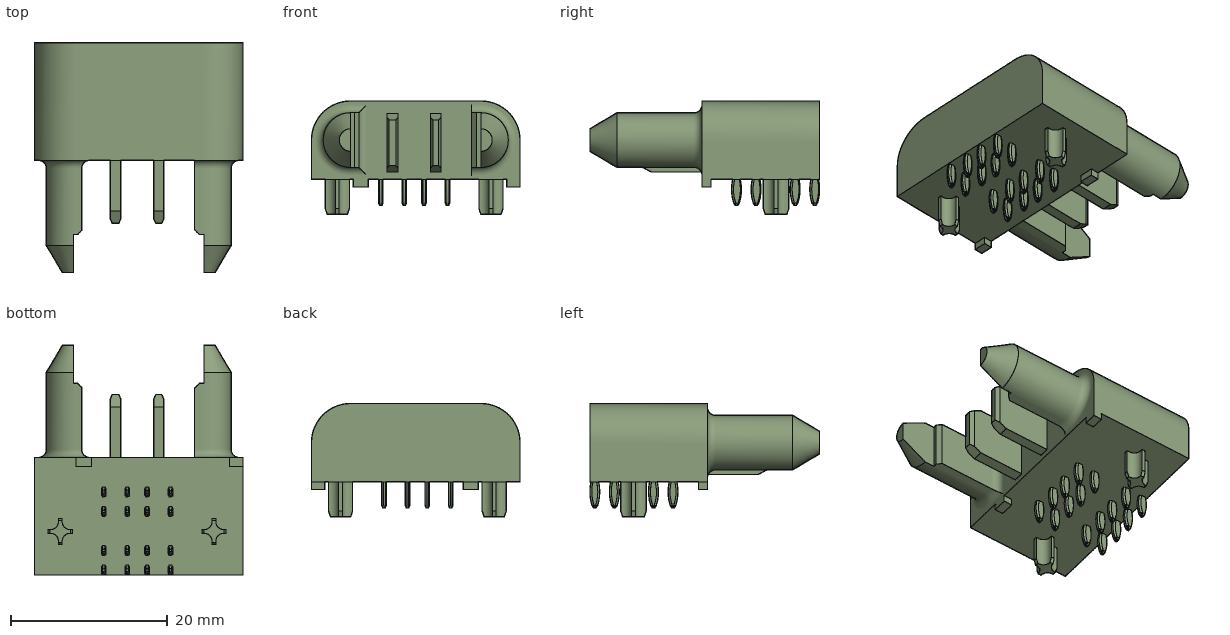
import cadquery as cq
import math


overall_depth = 29.28
housing_width = 26.6
housing_height = 9.98
housing_depth = 15.0
mid_height = housing_height / 2
corner_radius = housing_height / 2

post_x = housing_width / 2 - corner_radius
post_length = overall_depth - housing_depth
post_radius = 3.48
post_cone_start = 10.83
post_tip_radius = 1.43
post_root_fillet = 1.0
web_length = 9.45
left_web_width = 1.05
left_web_bevel = 0.55
right_web_width = 1.23
right_web_bevel = 0.67

contact_center_x = -0.2
contact_pitch = 5.5
left_contact_x = contact_center_x - contact_pitch / 2
right_contact_x = contact_center_x + contact_pitch / 2
left_blade_thickness = 1.38
right_blade_thickness = 1.3
blade_bottom = 0.9
blade_top = 8.4
blade_length = 8.02
blade_edge_bevel_length = 1.58
blade_edge_bevel_height = 0.85
blade_side_bevel_length = 0.6
blade_side_bevel_width = 0.25

pin_column_offset = 1.5
pin_row_y = 9.37
pin_pitch = 2.5
pin_row_steps = [-2, -1, 1, 2]
pin_length = 3.37
pin_thickness = 0.61
pin_root_half_width = 0.5
pin_bulge_half_width = 0.65
pin_bulge_depth = 1.3
pin_neck_half_width = 0.38
pin_neck_depth = 3.0
pin_tip_half_width = 0.15
pin_bevel_width = 0.25
pin_bevel_thickness = 0.15

peg_pitch = 19.55
peg_y = 9.43
peg_length = 4.48
peg_reach_x = 1.55
peg_reach_y = 1.65
peg_flute_edge = 1.25
peg_rib_half_width = 0.23
peg_bevel_width = 0.25
peg_bevel_length = 0.75

foot_height = 1.0
foot_depth = 1.17
left_foot_start_x = -7.95
left_foot_width = 1.93
right_foot_width = 1.73
right_foot_start_x = housing_width / 2 - right_foot_width


def make_housing():
    """Block whose two upper long edges are quarter rounds down to mid height."""
    return (
        cq.Workplane("XZ")
        .moveTo(-housing_width / 2, 0)
        .lineTo(housing_width / 2, 0)
        .lineTo(housing_width / 2, mid_height)
        .tangentArcPoint((post_x, housing_height), relative=False)
        .lineTo(-post_x, housing_height)
        .tangentArcPoint((-housing_width / 2, mid_height), relative=False)
        .close()
        .extrude(-housing_depth)
    )


flare_inset = post_root_fillet * (1 - math.sqrt(0.5))


def make_round_part():
    """Half-round +X side of a post along the Y axis, with a flared root and conical tip."""
    return (
        cq.Workplane("XY")
        .lineTo(post_radius + post_root_fillet, 0)
        .threePointArc((post_radius + flare_inset, -flare_inset), (post_radius, -post_root_fillet))
        .lineTo(post_radius, -post_cone_start)
        .lineTo(post_tip_radius, -post_length)
        .lineTo(0, -post_length)
        .close()
        .revolve(180, (0, 0, 0), (0, 1, 0))
        .rotate((0, 0, 0), (0, 1, 0), -90)
    )


def make_web(width, bevel, inboard_flare):
    """Web on the +X side of the Y axis, flared above and below, and inboard if asked."""
    flared_height = post_radius + post_root_fillet
    plan = cq.Workplane("XY")
    if inboard_flare:
        plan = plan.lineTo(width + post_root_fillet, 0)
        plan = plan.threePointArc((width + flare_inset, -flare_inset), (width, -post_root_fillet))
    else:
        plan = plan.lineTo(width, 0)
    plan = (
        plan.lineTo(width, bevel - web_length)
        .lineTo(width - bevel, -web_length)
        .lineTo(0, -web_length)
        .close()
        .extrude(flared_height, both=True)
    )
    side = (
        cq.Workplane("YZ")
        .moveTo(0, flared_height)
        .threePointArc((-flare_inset, post_radius + flare_inset), (-post_root_fillet, post_radius))
        .lineTo(-web_length, post_radius)
        .lineTo(-web_length, -post_radius)
        .lineTo(-post_root_fillet, -post_radius)
        .threePointArc((-flare_inset, -post_radius - flare_inset), (0, -flared_height))
        .close()
        .extrude(width + post_root_fillet)
    )
    return plan.intersect(side)


def make_posts():
    """Both guide posts; only the left web is flared on its inboard wall."""
    round_part = make_round_part()
    left_web = make_web(left_web_width, left_web_bevel, True)
    right_web = make_web(right_web_width, right_web_bevel, False)
    left_post = round_part.mirror("YZ").union(left_web)
    right_post = round_part.union(right_web.mirror("YZ"))
    return [
        left_post.translate((-post_x, 0, mid_height)),
        right_post.translate((post_x, 0, mid_height)),
    ]


def make_blade(thickness):
    """Upright blade centred on X = 0, bevelled on all four edges of its tip."""
    edge_bevel_start = blade_edge_bevel_length - blade_length
    side_outline = [
        (0, blade_bottom),
        (edge_bevel_start, blade_bottom),
        (-blade_length, blade_bottom + blade_edge_bevel_height),
        (-blade_length, blade_top - blade_edge_bevel_height),
        (edge_bevel_start, blade_top),
        (0, blade_top),
    ]
    half = thickness / 2
    tip_half = half - blade_side_bevel_width
    side_bevel_start = blade_side_bevel_length - blade_length
    plan_outline = [
        (-half, 0),
        (-half, side_bevel_start),
        (-tip_half, -blade_length),
        (tip_half, -blade_length),
        (half, side_bevel_start),
        (half, 0),
    ]
    side = cq.Workplane("YZ").polyline(side_outline).close().extrude(half, both=True)
    plan = cq.Workplane("XY").polyline(plan_outline).close().extrude(housing_height)
    return side.intersect(plan)


def make_pin():
    """Flat pin hanging from Z = 0: bulging sides, bevelled long edges and a tapered tip."""
    bulging = (
        cq.Workplane("YZ")
        .moveTo(-pin_root_half_width, 0)
        .threePointArc((-pin_bulge_half_width, -pin_bulge_depth), (-pin_neck_half_width, -pin_neck_depth))
        .lineTo(pin_neck_half_width, -pin_neck_depth)
        .threePointArc((pin_bulge_half_width, -pin_bulge_depth), (pin_root_half_width, 0))
        .close()
        .extrude(pin_thickness / 2, both=True)
    )
    shank = bulging.edges("%CIRCLE").chamfer(pin_bevel_thickness, pin_bevel_width)
    tip = (
        shank.faces("<Z")
        .wires()
        .toPending()
        .workplane(offset=pin_length - pin_neck_depth)
        .rect(2 * pin_tip_half_width, 2 * pin_tip_half_width)
        .loft(combine=False)
    )
    return shank.union(tip)


def make_peg():
    """Fluted peg hanging from Z = 0, its four rib tips tapered at the lower end."""
    flute_radius = peg_flute_edge - peg_rib_half_width
    core = cq.Workplane("XY").rect(2 * peg_flute_edge, 2 * peg_flute_edge).extrude(-peg_length)
    flutes = (
        cq.Workplane("XY")
        .rect(2 * peg_flute_edge, 2 * peg_flute_edge, forConstruction=True)
        .vertices()
        .circle(flute_radius)
        .extrude(-peg_length)
    )
    x_ribs = cq.Workplane("XY").rect(2 * peg_reach_x, 2 * peg_rib_half_width).extrude(-peg_length)
    y_ribs = cq.Workplane("XY").rect(2 * peg_rib_half_width, 2 * peg_reach_y).extrude(-peg_length)
    tapered_envelope = (
        cq.Workplane("XY")
        .rect(2 * peg_reach_x, 2 * peg_reach_y)
        .extrude(-peg_length)
        .faces("<Z")
        .chamfer(peg_bevel_length, peg_bevel_width)
    )
    return core.cut(flutes).union(x_ribs).union(y_ribs).intersect(tapered_envelope)


def make_foot(start_x, width):
    """Rectangular foot below the housing, flush with the mating face."""
    foot = cq.Workplane("XY").box(width, foot_depth, foot_height, centered=False)
    return foot.translate((start_x, 0, -foot_height))


result = make_housing()

for post in make_posts():
    result = result.union(post)

pin = make_pin()
for contact_x, thickness in (
    (left_contact_x, left_blade_thickness),
    (right_contact_x, right_blade_thickness),
):
    result = result.union(make_blade(thickness).translate((contact_x, 0, 0)))
    for column_x in (contact_x - pin_column_offset, contact_x + pin_column_offset):
        for step in pin_row_steps:
            result = result.union(pin.translate((column_x, pin_row_y + step * pin_pitch, 0)))

peg = make_peg()
for side in (-1, 1):
    peg_x = contact_center_x + side * peg_pitch / 2
    result = result.union(peg.translate((peg_x, peg_y, 0)))

result = result.union(make_foot(left_foot_start_x, left_foot_width))
result = result.union(make_foot(right_foot_start_x, right_foot_width))